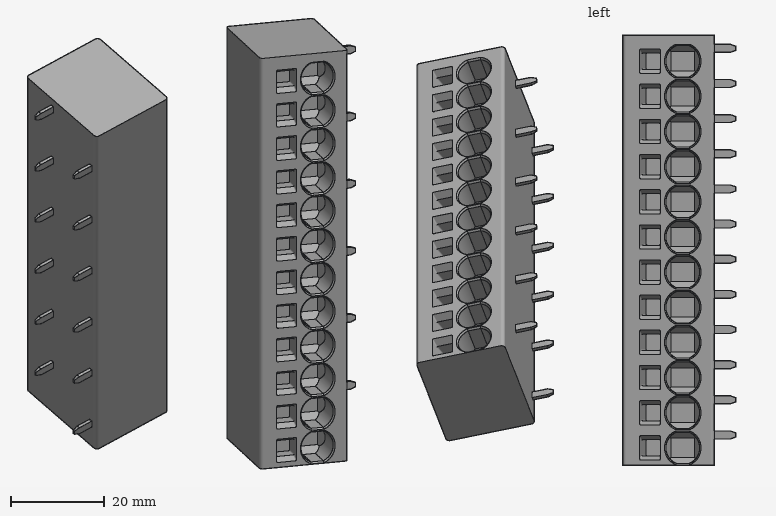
import cadquery as cq

POLES = 12
PITCH = 7.5

BODY_X = 24.15
OVERALL_Y = 24.2
BODY_Y = 19.6
BODY_Z = 91.8
EDGE_RADIUS = 0.8
FIRST_POLE_Z = PITCH / 2

ENTRY_Y = 6.75
ENTRY_RADIUS = 3.6
ENTRY_HALF_HEIGHT = 3.32
ENTRY_CHAMFER_WIDTH = 0.3
ENTRY_CHAMFER_DEPTH = 0.45
ENTRY_STRAIGHT_DEPTH = 6.0
ENTRY_DEPTH = 8.0
FLOOR_SIZE_Y = 5.1
FLOOR_SIZE_Z = 4.1

SLOT_LOW_Y = 11.5
SLOT_HIGH_Y = 15.95
SLOT_MOUTH_HEIGHT = 5.2
SLOT_HEIGHT = 3.55
SLOT_BEVEL_DEPTH = 1.65
SLOT_DEPTH = 4.8
SLOT_WALL_RUN = 1.35
SLOT_CORNER_RADIUS = 0.3

PIN_LENGTH = OVERALL_Y - BODY_Y
PIN_TIP_LENGTH = 1.2
PIN_THICKNESS = 0.75
PIN_HEIGHT = 1.75
PIN_TIP_THICKNESS = 0.4
PIN_TIP_HEIGHT = 0.9
PIN_EMBED = 1.0
PIN_ROWS_X = (22.22, 9.02)
PIN_ABOVE_POLE = 2.75


def housing():
    block = cq.Workplane("XY").box(BODY_X, BODY_Y, BODY_Z, centered=False)
    return block.edges("|Z").fillet(EDGE_RADIUS)


def facing_plane(x, y, z):
    """Plane looking into the housing: local x is +Y, local y is +Z, normal is +X."""
    return cq.Plane(origin=(x, y, z), xDir=(0, 1, 0), normal=(1, 0, 0))


def flat_sided_round(workplane, radius, half_height):
    """Circle outline cut by flats at its top and bottom."""
    half_flat = (radius**2 - half_height**2) ** 0.5
    return (
        workplane.moveTo(-half_flat, -half_height)
        .lineTo(half_flat, -half_height)
        .threePointArc((radius, 0), (half_flat, half_height))
        .lineTo(-half_flat, half_height)
        .threePointArc((-radius, 0), (-half_flat, -half_height))
        .close()
    )


def wire_entry(pole_z):
    mouth = cq.Workplane(facing_plane(0, ENTRY_Y, pole_z))
    bore = flat_sided_round(mouth, ENTRY_RADIUS, ENTRY_HALF_HEIGHT).extrude(ENTRY_DEPTH)
    straight = mouth.rect(2 * ENTRY_RADIUS, 2 * ENTRY_HALF_HEIGHT).extrude(ENTRY_STRAIGHT_DEPTH)
    funnel = (
        mouth.workplane(offset=ENTRY_STRAIGHT_DEPTH)
        .rect(2 * ENTRY_RADIUS, 2 * ENTRY_HALF_HEIGHT)
        .workplane(offset=ENTRY_DEPTH - ENTRY_STRAIGHT_DEPTH)
        .rect(FLOOR_SIZE_Y, FLOOR_SIZE_Z)
        .loft(ruled=True)
    )
    hole = bore.intersect(straight.union(funnel))
    rim_outline = flat_sided_round(
        mouth, ENTRY_RADIUS + ENTRY_CHAMFER_WIDTH, ENTRY_HALF_HEIGHT + ENTRY_CHAMFER_WIDTH
    )
    rim_base = rim_outline.workplane(offset=ENTRY_CHAMFER_DEPTH)
    rim = flat_sided_round(rim_base, ENTRY_RADIUS, ENTRY_HALF_HEIGHT).loft(ruled=True)
    return hole.union(rim)


def release_slot(pole_z):
    side_profile = [
        (0, -SLOT_MOUTH_HEIGHT / 2),
        (SLOT_BEVEL_DEPTH, -SLOT_HEIGHT / 2),
        (SLOT_DEPTH, -SLOT_HEIGHT / 2),
        (SLOT_DEPTH, SLOT_HEIGHT / 2),
        (SLOT_BEVEL_DEPTH, SLOT_HEIGHT / 2),
        (0, SLOT_MOUTH_HEIGHT / 2),
    ]
    plan_profile = [
        (0, SLOT_LOW_Y),
        (SLOT_DEPTH, SLOT_LOW_Y),
        (SLOT_DEPTH, SLOT_HIGH_Y - SLOT_WALL_RUN),
        (0, SLOT_HIGH_Y),
    ]
    side = cq.Workplane("XZ", origin=(0, 0, pole_z)).polyline(side_profile).close().extrude(-BODY_Y)
    plan = (
        cq.Workplane("XY", origin=(0, 0, pole_z - SLOT_MOUTH_HEIGHT / 2))
        .polyline(plan_profile)
        .close()
        .extrude(SLOT_MOUTH_HEIGHT)
    )
    return side.intersect(plan).edges("not(|Z or |Y)").fillet(SLOT_CORNER_RADIUS)


def solder_pin(x, z):
    root = cq.Workplane("XZ", origin=(x, PIN_EMBED, z))
    shank_length = PIN_EMBED + PIN_LENGTH - PIN_TIP_LENGTH
    shank = root.rect(PIN_THICKNESS, PIN_HEIGHT).extrude(shank_length)
    tip = (
        root.workplane(offset=shank_length)
        .rect(PIN_THICKNESS, PIN_HEIGHT)
        .workplane(offset=PIN_TIP_LENGTH)
        .rect(PIN_TIP_THICKNESS, PIN_TIP_HEIGHT)
        .loft(ruled=True)
    )
    return shank.union(tip)


result = housing()
for pole in range(POLES):
    pole_z = FIRST_POLE_Z + pole * PITCH
    result = result.cut(wire_entry(pole_z)).cut(release_slot(pole_z))
    pin_x = PIN_ROWS_X[pole % len(PIN_ROWS_X)]
    result = result.union(solder_pin(pin_x, pole_z + PIN_ABOVE_POLE))